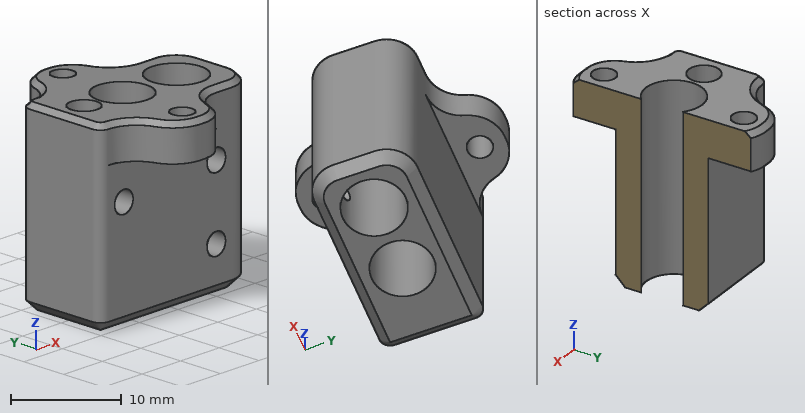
import cadquery as cq
import math

length = 20.0
block_width = 10.0
height = 20.0
left_corner_radius = 1.05
right_corner_radius = 3.0
bottom_chamfer = 1.04
top_chamfer = 0.55

flange_width = 20.0
flange_thickness = 4.0
ear_x = 8.03
ear_flat_half = 0.25
ear_blend_half = ear_x - left_corner_radius

centre_bore_diameter = 6.0
centre_bore_x = 8.0
right_bore_diameter = 6.1
right_bore_x = 15.0
pocket_diameter = 3.2
pocket_x = 3.0
pocket_depth = 15.0
screw_hole_diameter = 2.4
screw_hole_y = 7.5

clamp_holes = [(pocket_x, 12.0), (right_bore_x, 5.0), (right_bore_x, 13.0)]

half_width = block_width / 2
half_flange = flange_width / 2
flange_bottom = height - flange_thickness

blend_run = ear_blend_half - ear_flat_half
ear_projection = half_flange - half_width
ear_radius = (blend_run**2 + ear_projection**2) / (4 * ear_projection)


def arc_middle(centre, start, end):
    """Middle point of the short arc about centre from start to end."""
    chord_x = (start[0] + end[0]) / 2 - centre[0]
    chord_y = (start[1] + end[1]) / 2 - centre[1]
    radius = math.dist(centre, start)
    stretch = radius / math.hypot(chord_x, chord_y)
    return (centre[0] + chord_x * stretch, centre[1] + chord_y * stretch)


def make_block():
    block = cq.Workplane("XY").box(length, block_width, height, centered=(False, True, False))
    block = block.edges("|Z and <X").fillet(left_corner_radius)
    return block.edges("|Z and >X").fillet(right_corner_radius)


def make_ears():
    """Both ears as one plate spanning the block from the -Y tip to the +Y tip."""

    def place(side_x, offset, y):
        return (ear_x + side_x * offset, y)

    def s_curve(side_x, side_y):
        """Points of one blend: foot, concave middle, joint, convex middle, tip."""
        foot = place(side_x, ear_blend_half, side_y * half_width)
        tip = place(side_x, ear_flat_half, side_y * half_flange)
        foot_centre = (foot[0], foot[1] + side_y * ear_radius)
        tip_centre = (tip[0], tip[1] - side_y * ear_radius)
        joint = ((foot[0] + tip[0]) / 2, (foot[1] + tip[1]) / 2)
        return [
            foot,
            arc_middle(foot_centre, foot, joint),
            joint,
            arc_middle(tip_centre, joint, tip),
            tip,
        ]

    outline = cq.Workplane("XY", origin=(0, 0, flange_bottom))
    outline = outline.moveTo(*place(-1, ear_blend_half, -half_width))
    for side_x, side_y in [(-1, -1), (1, -1), (1, 1), (-1, 1)]:
        points = s_curve(side_x, side_y)
        if side_x != side_y:
            points.reverse()
        start, first_middle, joint, second_middle, end = points
        if (side_x, side_y) != (-1, -1):
            outline = outline.lineTo(*start)
        outline = outline.threePointArc(first_middle, joint)
        outline = outline.threePointArc(second_middle, end)
    return outline.close().extrude(flange_thickness)


def vertical_hole(x, y, diameter, depth):
    hole = cq.Workplane("XY", origin=(x, y, height - depth))
    return hole.circle(diameter / 2).extrude(depth)


def clamp_hole(x, z):
    hole = cq.Workplane("XZ", origin=(x, 0, z))
    return hole.circle(screw_hole_diameter / 2).extrude(half_width)


body = make_block().union(make_ears())
body = body.faces("<Z").chamfer(bottom_chamfer)
body = body.faces(">Z").chamfer(top_chamfer)

body = body.cut(vertical_hole(centre_bore_x, 0, centre_bore_diameter, height))
body = body.cut(vertical_hole(right_bore_x, 0, right_bore_diameter, height))
body = body.cut(vertical_hole(pocket_x, 0, pocket_diameter, pocket_depth))
for side in (-1, 1):
    screw_hole = vertical_hole(centre_bore_x, side * screw_hole_y, screw_hole_diameter, flange_thickness)
    body = body.cut(screw_hole)
for x, z in clamp_holes:
    body = body.cut(clamp_hole(x, z))

result = body